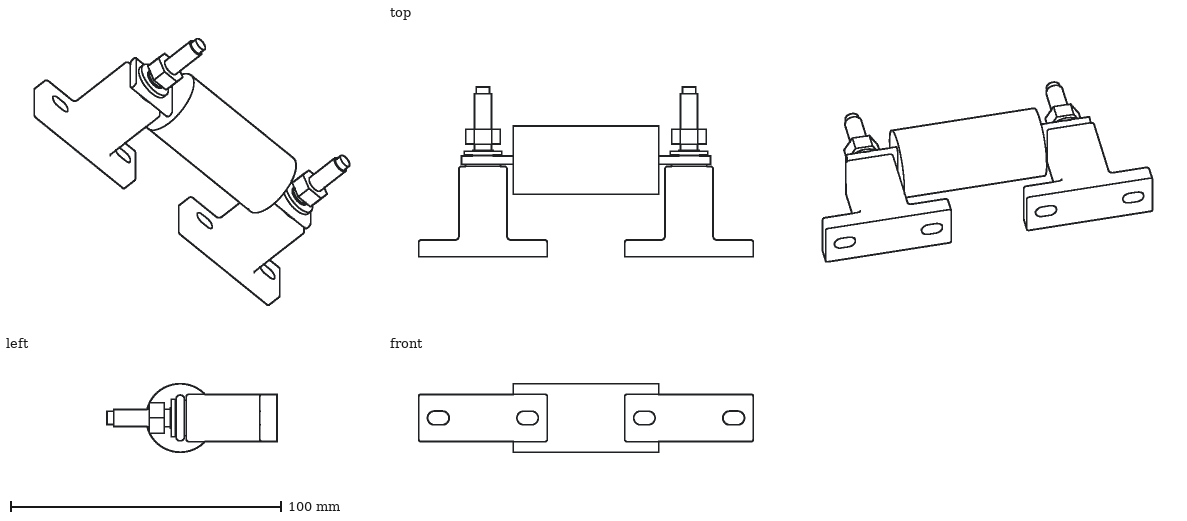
import cadquery as cq

STUD_SPACING = 76.2
OVERALL_DEPTH = 62.87

BASE_LENGTH = 47.66
BASE_THICKNESS = 6.35
COLUMN_LENGTH = 17.9
STANDOFF_WIDTH = 17.46
STANDOFF_HEIGHT = 33.55
ROOT_RADIUS = 1.3
CORNER_RADIUS = 1.1
SIDE_EDGE_RADIUS = 0.9
SLOT_LENGTH = 7.9
SLOT_WIDTH = 5.0
SLOT_SPACING = 33.0

TUBE_DIAMETER = 25.4
TUBE_LENGTH = 53.975
LUG_SPAN = 92.08
LUG_WIDTH = 17.0
LUG_THICKNESS = 3.1

COLLAR_DIAMETER = 13.1
COLLAR_HEIGHT = 0.7
WASHER_DIAMETER = 14.0
WASHER_THICKNESS = 1.5
CENTRE_RING_DIAMETER = 7.6
CENTRE_RING_PROUD = 0.3
STUD_DIAMETER = 6.35
STUD_TIP_DIAMETER = 5.0
STUD_TIP_LENGTH = 2.5
NUT_ACROSS_CORNERS = 12.83
NUT_THICKNESS = 5.56
NUT_GAP = 2.3

LUG_BOTTOM = STANDOFF_HEIGHT + COLLAR_HEIGHT
LUG_TOP = LUG_BOTTOM + LUG_THICKNESS
TUBE_AXIS = LUG_BOTTOM + LUG_THICKNESS / 2
WASHER_BOTTOM = LUG_TOP + CENTRE_RING_PROUD
CENTRE_RING_HEIGHT = WASHER_THICKNESS + 2 * CENTRE_RING_PROUD
CENTRE_RING_TOP = LUG_TOP + CENTRE_RING_HEIGHT
NUT_BOTTOM = CENTRE_RING_TOP + NUT_GAP
STUD_SHOULDER = OVERALL_DEPTH - STUD_TIP_LENGTH

STUD_POSITIONS = [-STUD_SPACING / 2, STUD_SPACING / 2]


def section_plane(x, y):
    """Plane across the stud axis, with local X along X and its normal along +Y."""
    return cq.Workplane(cq.Plane(origin=(x, y, 0), xDir=(1, 0, 0), normal=(0, 1, 0)))


def disc(x, y, diameter, height):
    return section_plane(x, y).circle(diameter / 2).extrude(height)


def make_block(x, length, height):
    """Block standing on Y = 0 with its two far corners rounded."""
    block = section_plane(x, 0).rect(length, STANDOFF_WIDTH).extrude(height)
    return block.edges("|Z and >Y").fillet(CORNER_RADIUS)


def make_standoff(x):
    base = make_block(x, BASE_LENGTH, BASE_THICKNESS)
    column = make_block(x, COLUMN_LENGTH, STANDOFF_HEIGHT)
    block = base.union(column)

    for corner_x in (x - COLUMN_LENGTH / 2, x + COLUMN_LENGTH / 2):
        root_edge = cq.selectors.NearestToPointSelector((corner_x, BASE_THICKNESS, 0))
        block = block.edges("|Z").edges(root_edge).fillet(ROOT_RADIUS)

    block = block.faces("<Z or >Z").edges("not <Y").fillet(SIDE_EDGE_RADIUS)

    slots = (
        section_plane(x, 0)
        .pushPoints([(-SLOT_SPACING / 2, 0), (SLOT_SPACING / 2, 0)])
        .slot2D(SLOT_LENGTH, SLOT_WIDTH)
        .extrude(BASE_THICKNESS)
    )
    return block.cut(slots)


def make_resistor():
    tube = (
        cq.Workplane("YZ", origin=(-TUBE_LENGTH / 2, TUBE_AXIS, 0))
        .circle(TUBE_DIAMETER / 2)
        .extrude(TUBE_LENGTH)
    )
    strap = (
        cq.Workplane("YZ", origin=(-LUG_SPAN / 2, TUBE_AXIS, 0))
        .slot2D(LUG_WIDTH, LUG_THICKNESS, 90)
        .extrude(LUG_SPAN)
    )
    resistor = tube.union(strap)
    for x in STUD_POSITIONS:
        resistor = resistor.cut(disc(x, LUG_BOTTOM, STUD_DIAMETER, LUG_THICKNESS))
    return resistor


def make_terminal(x):
    collar = disc(x, STANDOFF_HEIGHT, COLLAR_DIAMETER, COLLAR_HEIGHT)
    shank = disc(x, STANDOFF_HEIGHT, STUD_DIAMETER, STUD_SHOULDER - STANDOFF_HEIGHT)
    tip = disc(x, STUD_SHOULDER, STUD_TIP_DIAMETER, STUD_TIP_LENGTH)
    washer = disc(x, WASHER_BOTTOM, WASHER_DIAMETER, WASHER_THICKNESS)
    centre_ring = disc(x, LUG_TOP, CENTRE_RING_DIAMETER, CENTRE_RING_HEIGHT)
    nut = section_plane(x, NUT_BOTTOM).polygon(6, NUT_ACROSS_CORNERS).extrude(NUT_THICKNESS)
    return shank.union(collar).union(tip).union(washer).union(centre_ring).union(nut)


standoffs = [make_standoff(x) for x in STUD_POSITIONS]
terminals = [make_terminal(x) for x in STUD_POSITIONS]
resistor = make_resistor()

result = cq.Compound.makeCompound(
    [resistor.val()]
    + [standoff.val() for standoff in standoffs]
    + [terminal.val() for terminal in terminals]
)